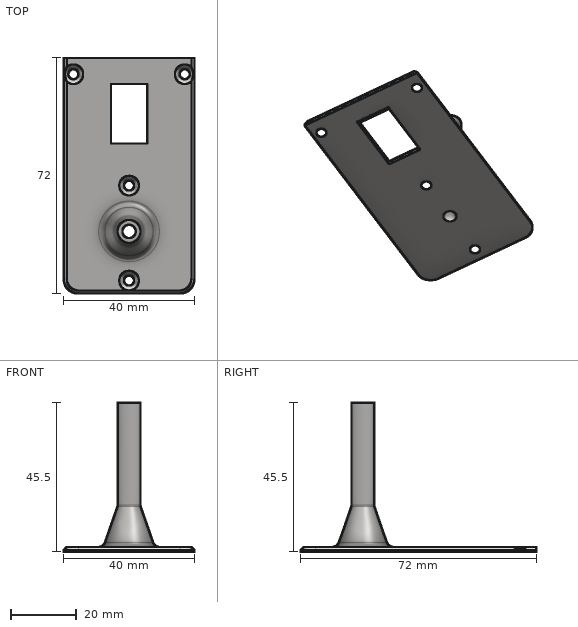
import cadquery as cq
import math

plate_width = 40.0
plate_length = 72.0
plate_thickness = 1.5
corner_radius = 4.5
edge_chamfer = 1.0

post_y = 19.0
post_diameter = 7.0
bore_diameter = 4.0
total_height = 45.5
cone_base_diameter = 15.7
cone_height = 12.5
foot_fillet = 2.0
neck_fillet = 1.5

screw_diameter = 3.0
countersink_diameter = 6.0
countersink_angle = 90.0
front_screw_y = 4.0
middle_screw_y = 33.0
rear_screw_inset_x = 3.0
rear_screw_inset_y = 5.0

window_width = 11.0
window_length = 18.1
window_rear_inset = 8.0

relief_height = 0.5
relief_depth = 1.0


def make_plate():
    """Plate with rounded front corners, bevelled on the top of every edge except the rear."""
    blank = cq.Workplane("XY").box(plate_width, plate_length, plate_thickness, centered=(True, False, False))
    rounded = blank.edges("|Z and <Y").fillet(corner_radius)
    return rounded.faces(">Z").edges("not >Y").chamfer(edge_chamfer)


def make_post():
    """Solid of revolution: flared foot, cone, blended neck and straight post."""
    post_radius = post_diameter / 2
    cone_base_radius = cone_base_diameter / 2
    cone_top_z = plate_thickness + cone_height
    cone_tilt = math.atan2(cone_base_radius - post_radius, cone_height)

    foot_tangent = foot_fillet * math.tan((math.pi / 2 - cone_tilt) / 2)
    neck_tangent = neck_fillet * math.tan(cone_tilt / 2)

    def cone_point(distance_from_base):
        return (
            cone_base_radius - distance_from_base * math.sin(cone_tilt),
            plate_thickness + distance_from_base * math.cos(cone_tilt),
        )

    cone_slant = math.hypot(cone_base_radius - post_radius, cone_height)
    flare_radius = cone_base_radius + foot_tangent
    profile = (
        cq.Workplane("XZ")
        .lineTo(flare_radius, 0)
        .lineTo(flare_radius, plate_thickness)
        .radiusArc(cone_point(foot_tangent), foot_fillet)
        .lineTo(*cone_point(cone_slant - neck_tangent))
        .radiusArc((post_radius, cone_top_z + neck_tangent), neck_fillet)
        .lineTo(post_radius, total_height)
        .lineTo(0, total_height)
        .close()
    )
    return profile.revolve(360, (0, 0, 0), (0, 1, 0)).translate((0, post_y, 0))


def cut_bore(body):
    """Bore running through the post and the plate."""
    bore = cq.Workplane("XY").center(0, post_y).circle(bore_diameter / 2).extrude(total_height)
    return body.cut(bore)


def cut_screw_holes(body):
    """Two holes on the centre line and one in each rear corner."""
    rear_x = plate_width / 2 - rear_screw_inset_x
    rear_y = plate_length - rear_screw_inset_y
    positions = [
        (0, front_screw_y),
        (0, middle_screw_y),
        (-rear_x, rear_y),
        (rear_x, rear_y),
    ]
    plate_top = cq.Workplane("XY", origin=(0, 0, plate_thickness))
    return (
        body.copyWorkplane(plate_top)
        .pushPoints(positions)
        .cskHole(screw_diameter, countersink_diameter, countersink_angle, depth=plate_thickness)
    )


def cut_window(body):
    """Rectangular opening through the plate near the rear edge."""
    window_y = plate_length - window_rear_inset - window_length / 2
    window = cq.Workplane("XY").center(0, window_y).rect(window_width, window_length).extrude(plate_thickness)
    return body.cut(window)


def cut_window_relief(body):
    """Shallow recess in the underside, directly behind the window and as wide as it."""
    relief = (
        cq.Workplane("XY")
        .box(window_width, relief_depth, relief_height, centered=(True, False, False))
        .translate((0, plate_length - window_rear_inset, 0))
    )
    return body.cut(relief)


result = make_plate().union(make_post())
result = cut_bore(result)
result = cut_screw_holes(result)
result = cut_window(result)
result = cut_window_relief(result)